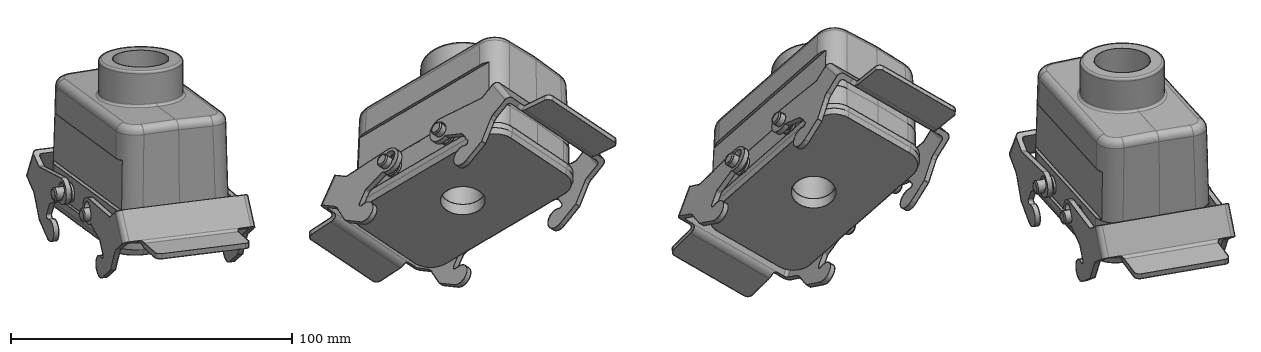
import cadquery as cq
import math


seal_length = 75.0
seal_width = 45.3
seal_height = 4.7
seal_corner_radius = 8.5
seal_chamfer_inset = 0.7
seal_chamfer_height = 2.2

hood_ridge_z = 47.7
hood_ridge_angle = 1.4
hood_length = 72.8
hood_width = 43.0
hood_draft_angle = 1.4
hood_skirt_top_z = 15.4
hood_corner_radius = 7.7
hood_top_fillet = 3.1

neck_diameter = 30.0
neck_top_z = 60.8
neck_rim_fillet = 1.0
neck_root_fillet = 1.0
neck_bore_diameter = 20.0
neck_bore_depth = 12.0
through_bore_diameter = 16.0

panel_depth = 1.0
panel_top_z = 34.3
panel_ledge_height = 0.6

pin_diameter = 4.9
pin_x = 13.2
pin_z = 9.6
pin_span = 56.5
pin_end_chamfer = 0.5
boss_diameter = 7.0
boss_span = 44.7

lever_tilts = {"left": 31.4, "right": 33.2}
sheet = 2.0
lever_width = 51.0
plate_x = 27.2
plate_top_z = -6.9
plate_bottom_z = -18.8
plate_bend_outer_radius = 2.0
plate_bend_inner_radius = 1.2
eye_radius = 4.9
slot_travel = 2.5
heel_x = 19.2
heel_fillet = 1.2
elbow_x = 17.5
elbow_fillet = 3.5
toe_x = 8.9
hook_radius = 4.0
hook_bottom_z = -23.7
throat_x = 5.1
throat_radius = 1.1
throat_top_z = -11.0
throat_top_fillet = 1.0

handle_width = 36.1
handle_slope = 36.8
handle_length = 12.4
handle_bend_radius = 1.8
handle_corner_radius = 2.0
handle_root_fillet = 1.5


def through_cylinder_y(diameter, span, x, z):
    """A cylinder along Y, centred on Y = 0."""
    return cq.Workplane("XZ", origin=(x, 0, z)).circle(diameter / 2).extrude(span / 2, both=True)


def through_bore(bottom_z, top_z):
    blank = cq.Workplane("XY").workplane(offset=bottom_z).circle(through_bore_diameter / 2)
    return blank.extrude(top_z - bottom_z)


def make_seal():
    """Flat seal under the hood, chamfered around its foot."""
    seal = cq.Workplane("XY").box(seal_length, seal_width, seal_height, centered=(True, True, False))
    seal = seal.edges("|Z").fillet(seal_corner_radius)
    seal = seal.faces("<Z").edges().chamfer(seal_chamfer_height, seal_chamfer_inset)
    return seal.cut(through_bore(0, seal_height))


def make_panel_cutter():
    """The material outside the recessed panel on the -Y side."""
    draft = math.tan(math.radians(hood_draft_angle))

    def wall_y(z):
        return -hood_width / 2 + draft * (z - hood_skirt_top_z)

    outside_y = -hood_width
    ledge_top_z = hood_skirt_top_z + panel_ledge_height
    section = [
        (outside_y, hood_skirt_top_z),
        (wall_y(hood_skirt_top_z), hood_skirt_top_z),
        (wall_y(ledge_top_z) + panel_depth, ledge_top_z),
        (wall_y(panel_top_z) + panel_depth, panel_top_z),
        (outside_y, panel_top_z),
    ]
    return cq.Workplane("YZ").polyline(section).close().extrude(hood_length / 2, both=True)


def ridge_drop(distance):
    """How far a face falls away from the parting ridge at this distance from it."""
    return distance * math.tan(math.radians(hood_ridge_angle))


def make_wall_ring(bottom_z, top_z, draft_angle):
    """Full hood block between two heights, peaked at both ends and rounded at its corners."""
    half_length = hood_length / 2
    half_width = hood_width / 2
    corner_x = half_length - ridge_drop(half_width)
    outline = [
        (half_length, 0),
        (corner_x, half_width),
        (-corner_x, half_width),
        (-half_length, 0),
        (-corner_x, -half_width),
        (corner_x, -half_width),
    ]
    ring = cq.Workplane("XY").workplane(offset=bottom_z).polyline(outline).close()
    ring = ring.extrude(top_z - bottom_z, taper=draft_angle)
    peaks = cq.selectors.BoxSelector((-hood_length, -1.2, bottom_z), (hood_length, 1.2, top_z))
    corners = cq.selectors.StringSyntaxSelector("not #Z") - peaks
    return ring.edges(corners).fillet(hood_corner_radius)


def make_neck():
    neck = cq.Workplane("XY").workplane(offset=hood_skirt_top_z).circle(neck_diameter / 2)
    return neck.extrude(neck_top_z - hood_skirt_top_z).faces(">Z").edges().fillet(neck_rim_fillet)


def make_hood_shell():
    """Skirt, drafted walls and neck, built as the -Y half and mirrored about the parting plane."""
    half_width = hood_width / 2
    eaves_z = hood_ridge_z - ridge_drop(half_width)
    under_roof_section = [(0, 0), (0, hood_ridge_z), (-half_width, eaves_z), (-half_width, 0)]
    under_roof = cq.Workplane("YZ").polyline(under_roof_section).close()
    under_roof = under_roof.extrude(hood_length / 2, both=True)
    front_side = cq.Workplane("XY").box(
        hood_length, half_width, neck_top_z, centered=(True, False, False)
    ).translate((0, -half_width, 0))

    walls = make_wall_ring(hood_skirt_top_z, hood_ridge_z, hood_draft_angle).intersect(under_roof)
    ridge = cq.selectors.BoxSelector((-1.2, -1.2, eaves_z), (1.2, 1.2, neck_top_z))
    roof_edges = cq.selectors.InverseSelector(ridge)
    walls = walls.faces(">Z").edges(roof_edges).fillet(hood_top_fillet)

    half = walls.union(make_neck().intersect(front_side))
    neck_root = cq.selectors.BoxSelector((-1.2, -neck_diameter, eaves_z), (1.2, -1.2, hood_ridge_z))
    half = half.edges(neck_root).fillet(neck_root_fillet)

    half = half.union(make_wall_ring(seal_height, hood_skirt_top_z, 0).intersect(front_side))
    return half.union(half.mirror("XZ"))


def make_pivot(x):
    """A chamfered pin with its bosses, running through the hood along Y."""
    pin = through_cylinder_y(pin_diameter, pin_span, x, pin_z).edges().chamfer(pin_end_chamfer)
    return pin.union(through_cylinder_y(boss_diameter, boss_span, x, pin_z))


def make_hood():
    """Hood with recessed side panels, pivot pins cast on and a stepped bore."""
    panel_cutter = make_panel_cutter()
    body = make_hood_shell().cut(panel_cutter).cut(panel_cutter.mirror("XZ"))
    for x in (-pin_x, pin_x):
        body = body.union(make_pivot(x))

    neck_bore = cq.Workplane("XY").workplane(offset=neck_top_z).circle(neck_bore_diameter / 2)
    return body.cut(neck_bore.extrude(-neck_bore_depth)).cut(through_bore(seal_height, neck_top_z))


def lever_side_outline():
    """Side profile of the arm and back plate: eye, heel, plate, toe, hook and throat."""
    eye_z = slot_travel / 2
    eye_bottom = (0, eye_z - eye_radius)
    hook_z = hook_bottom_z + hook_radius

    reach = math.hypot(heel_x, plate_top_z - eye_z)
    heel_direction = math.atan2(plate_top_z - eye_z, heel_x)
    tangent_angle = heel_direction + math.acos(eye_radius / reach)
    eye_tangent = (eye_radius * math.cos(tangent_angle), eye_z + eye_radius * math.sin(tangent_angle))

    throat_center_x = throat_x - throat_radius
    center_rise = math.sqrt((hook_radius + throat_radius) ** 2 - throat_center_x**2)
    throat_z = hook_z + center_rise
    hook_share = hook_radius / (hook_radius + throat_radius)
    hook_to_throat = (hook_share * throat_center_x, hook_z + hook_share * center_rise)
    throat_bend = math.atan2(-center_rise, -throat_center_x) / 2
    throat_middle = (
        throat_center_x + throat_radius * math.cos(throat_bend),
        throat_z + throat_radius * math.sin(throat_bend),
    )
    return (
        cq.Workplane("XZ")
        .moveTo(*eye_bottom)
        .threePointArc((-eye_radius, eye_z), eye_tangent)
        .lineTo(heel_x, plate_top_z)
        .lineTo(plate_x, plate_top_z)
        .lineTo(plate_x, plate_bottom_z)
        .lineTo(elbow_x, plate_bottom_z)
        .lineTo(toe_x, hook_bottom_z)
        .lineTo(0, hook_bottom_z)
        .threePointArc((-hook_radius, hook_z), hook_to_throat)
        .threePointArc(throat_middle, (throat_x, throat_z))
        .lineTo(throat_x, throat_top_z)
        .close()
    )


def fillet_edge_at(body, x, z, radius):
    """Round the profile corners that run along Y at the given point."""
    reach = 0.1
    near = cq.selectors.BoxSelector(
        (x - reach, -lever_width, z - reach), (x + reach, lever_width, z + reach)
    )
    return body.edges("|Y").edges(near).fillet(radius)


def make_handle():
    """Handle bent outward from the bottom of the back plate."""
    slope = math.radians(handle_slope)
    bend_angle = math.pi / 2 - slope
    handle_top_z = plate_bottom_z - handle_bend_radius * math.tan(bend_angle / 2)
    along = (math.cos(slope), -math.sin(slope))
    inward = (-math.sin(slope), -math.cos(slope))
    tip_top = (plate_x + handle_length * along[0], handle_top_z + handle_length * along[1])
    tip_bottom = (tip_top[0] + sheet * inward[0], tip_top[1] + sheet * inward[1])
    inner_x = plate_x - sheet
    inner_z = handle_top_z - sheet * math.tan(bend_angle / 2)
    root_z = plate_bottom_z + sheet
    wide = handle_width + 2 * handle_root_fillet
    strip = (
        cq.Workplane("XZ")
        .polyline(
            [
                (inner_x, root_z),
                (plate_x, root_z),
                (plate_x, handle_top_z),
                tip_top,
                tip_bottom,
                (inner_x, inner_z),
            ]
        )
        .close()
        .extrude(wide / 2, both=True)
    )
    strip = fillet_edge_at(strip, plate_x, handle_top_z, handle_bend_radius)
    strip = fillet_edge_at(strip, inner_x, inner_z, handle_bend_radius + sheet)

    half = handle_width / 2
    flare_z = plate_bottom_z - handle_root_fillet
    below_z = plate_bottom_z - 2 * handle_length
    mid = handle_root_fillet * (1 - math.sqrt(0.5))
    outline = (
        cq.Workplane("YZ")
        .moveTo(-wide / 2, root_z)
        .lineTo(-wide / 2, plate_bottom_z)
        .threePointArc((-half - mid, plate_bottom_z - mid), (-half, flare_z))
        .lineTo(-half, below_z)
        .lineTo(half, below_z)
        .lineTo(half, flare_z)
        .threePointArc((half + mid, plate_bottom_z - mid), (wide / 2, plate_bottom_z))
        .lineTo(wide / 2, root_z)
        .close()
        .extrude(plate_x + 2 * handle_length)
    )
    handle = strip.intersect(outline)
    tip_corners = cq.selectors.ParallelDirSelector(cq.Vector(inward[0], 0, inward[1]))
    return handle.edges(tip_corners).fillet(handle_corner_radius)


def make_lever():
    """Bent sheet lever in its own coordinates."""
    blank = lever_side_outline().extrude(lever_width / 2, both=True)
    blank = fillet_edge_at(blank, heel_x, plate_top_z, heel_fillet)
    blank = fillet_edge_at(blank, elbow_x, plate_bottom_z, elbow_fillet)
    blank = fillet_edge_at(blank, throat_x, throat_top_z, throat_top_fillet)
    blank = blank.edges("|Z and >X").fillet(plate_bend_outer_radius)

    inside_length = plate_x - sheet + 2 * eye_radius
    inside = (
        cq.Workplane("XY")
        .box(inside_length, lever_width - 2 * sheet, 4 * lever_width)
        .edges("|Z and >X")
        .fillet(plate_bend_inner_radius)
        .translate((plate_x - sheet - inside_length / 2, 0, 0))
    )
    slot = (
        cq.Workplane("XZ", origin=(0, 0, slot_travel / 2))
        .slot2D(slot_travel + pin_diameter, pin_diameter, 90)
        .extrude(lever_width, both=True)
    )
    return blank.cut(inside).cut(slot).union(make_handle())


def place_lever(lever, side):
    """Tilt the lever inward about its pin and move it to its side of the hood."""
    placed = lever.rotate((0, 0, 0), (0, 1, 0), -lever_tilts[side]).translate((pin_x, 0, pin_z))
    return placed.mirror("YZ") if side == "left" else placed


seal = make_seal()
hood = make_hood()
lever = make_lever()
levers = [place_lever(lever, side) for side in lever_tilts]

result = cq.Compound.makeCompound([seal.val(), hood.val(), *[placed.val() for placed in levers]])